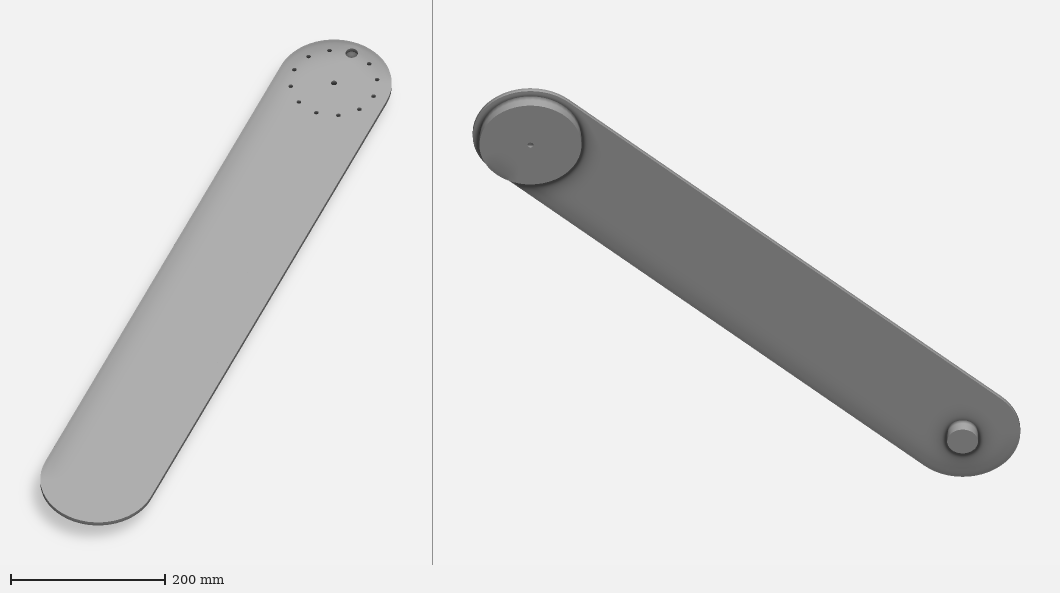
import cadquery as cq
import math

arm_width = 150.0
arm_length = 900.0
total_height = 25.0
plate_thickness = 6.0
end_spacing = arm_length - arm_width
support_height = total_height - plate_thickness

drum_y = end_spacing / 2
foot_y = -end_spacing / 2
foot_diameter = 40.0

centre_hole_diameter = 8.0
port_diameter = 16.0
screw_hole_diameter = 6.0
ring_radius = 56.25
ring_positions = 12
ring_step = 2 * math.pi / ring_positions
port_angle = math.pi / 2

drum_margin = 10.0
drum_radius = ring_radius + drum_margin


def ring_point(position):
    """Place on the hole ring, counted from the port and relative to the drum axis."""
    angle = port_angle + position * ring_step
    return ring_radius * math.cos(angle), ring_radius * math.sin(angle)


def drill_plate(plate, points, diameter):
    """Drill through the plate at points given relative to the drum axis."""
    top = plate.faces(">Z").workplane(origin=(0, drum_y, total_height))
    return top.pushPoints(points).hole(diameter, plate_thickness)


def make_plate():
    """Flat arm with rounded ends, resting on the drum and the foot."""
    plate = (
        cq.Workplane("XY", origin=(0, 0, support_height))
        .slot2D(arm_length, arm_width, 90)
        .extrude(plate_thickness)
    )
    screw_points = [ring_point(position) for position in range(1, ring_positions)]
    plate = drill_plate(plate, [(0, 0)], centre_hole_diameter)
    plate = drill_plate(plate, [ring_point(0)], port_diameter)
    return drill_plate(plate, screw_points, screw_hole_diameter)


def make_drum():
    """Round block below one end of the plate, with the centre hole running through."""
    return (
        cq.Workplane("XY", origin=(0, drum_y, 0))
        .circle(drum_radius)
        .circle(centre_hole_diameter / 2)
        .extrude(support_height)
    )


def make_foot():
    """Round post below the other end of the plate."""
    return (
        cq.Workplane("XY", origin=(0, foot_y, 0))
        .circle(foot_diameter / 2)
        .extrude(support_height)
    )


plate = make_plate()
drum = make_drum()
foot = make_foot()

result = cq.Compound.makeCompound([plate.val(), drum.val(), foot.val()])